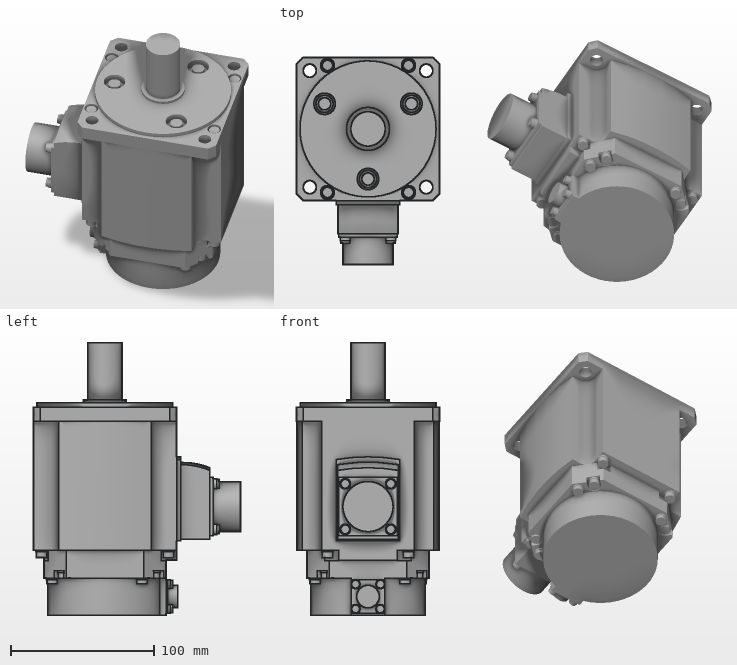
import cadquery as cq
import math


SHAFT_TOP = 45.0
COLLAR_TOP = 5.0
PILOT_TOP = 3.0
FLANGE_BOTTOM = -10.0
HOUSING_BOTTOM = -100.0
TAB_BOTTOM = HOUSING_BOTTOM - 6.9
COVER_NECK_BOTTOM = HOUSING_BOTTOM - 7.4
COVER_BOTTOM = HOUSING_BOTTOM - 19.5
ENCODER_BOTTOM = -145.5

SHAFT_DIAMETER = 24.0
COLLAR_DIAMETER = 30.0
PILOT_DIAMETER = 95.0
FLANGE_SIZE = 100.0
FLANGE_CHAMFER = 4.7
MOUNT_HOLE_DIAMETER = 9.0
MOUNT_HOLE_CIRCLE = 115.0

HOUSING_HALF_DEPTH = FLANGE_SIZE / 2
HOUSING_PLATE_HALF_WIDTH = 32.3
HOUSING_SIDE_PEAK = 49.85
HOUSING_SIDE_EDGE = 46.0
NOTCH_RADIUS = 8.0

COVER_SIZE = 85.3
COVER_CHAMFER = 15.7
NECK_DEPTH = 78.8
TAB_WIDTH = 40.6

ENCODER_DIAMETER = 80.0
ENCODER_BLOCK_WIDTH = 23.7

WASHER_DIAMETER = 8.0
WASHER_HEIGHT = 1.2
HEAD_DIAMETER = 7.3
LONG_BOLT_HEIGHT = 5.1
SHORT_BOLT_HEIGHT = 4.0

FLANGE_BOLT_X = 28.3
FLANGE_BOLT_Y = 44.3
FLANGE_BORE_DIAMETER = 9.6
FLANGE_BORE_DEPTH = 6.0

PILOT_BOLT_RADIUS = 35.0
PILOT_BOLT_ANGLES = (30, 150, 270)
PILOT_BORE_DIAMETER = 15.0
PILOT_BORE_DEPTH = 6.0
PILOT_WASHER_DIAMETER = 12.0
PILOT_HEAD_DIAMETER = 8.6
PILOT_BOLT_HEIGHT = 4.6

COVER_BOLT_RADIUS = 45.0
COVER_BOLT_ANGLE = 35.0
POCKET_BOLT_ANGLE = 50.0
POCKET_CENTRE_ANGLE = 45.0
POCKET_WIDTH = 9.5
POCKET_CEILING = COVER_BOTTOM + 5.1
QUARTER_TURNS = (0, 90, 180, 270)

POWER_BASE_WIDTH = 44.4
POWER_BASE_TOP = -34.8
POWER_BASE_BOTTOM = -93.5
POWER_BASE_FRONT = 53.1
POWER_HOOD_WIDTH = 41.9
POWER_HOOD_TOP = -38.5
POWER_HOOD_BOTTOM = -92.4
POWER_HOOD_FRONT = 73.2
POWER_HOOD_DROP = 3.9
POWER_CROWN_RADIUS = 130.0
POWER_PLATE_SIZE = 41.0
POWER_PLATE_FRONT = 75.6
POWER_AXIS_Z = -69.5
POWER_PLUG_DIAMETER = 35.0
POWER_PLUG_END = 94.8
POWER_BOLT_OFFSET = 15.9
POWER_WASHER_DIAMETER = 7.2
POWER_WASHER_HEIGHT = 2.3
POWER_HEAD_DIAMETER = 6.3
POWER_BOLT_HEIGHT = 4.2

SIGNAL_PLATE_SIZE = 23.4
SIGNAL_PLATE_FRONT = COVER_SIZE / 2 + 1.2
SIGNAL_AXIS_Z = -132.3
SIGNAL_PLUG_DIAMETER = 15.8
SIGNAL_PLUG_END = 50.9
SIGNAL_BOLT_OFFSET = 8.65
SIGNAL_WASHER_DIAMETER = 6.2
SIGNAL_WASHER_HEIGHT = 1.8
SIGNAL_HEAD_DIAMETER = 5.6
SIGNAL_BOLT_HEIGHT = 3.5


def cylinder(diameter, bottom, top, centre=(0, 0)):
    """Upright cylinder between two Z levels."""
    return cq.Workplane("XY", origin=(*centre, bottom)).circle(diameter / 2).extrude(top - bottom)


def block(width, depth, bottom, top):
    """Upright rectangular block centred on the shaft axis."""
    return cq.Workplane("XY", origin=(0, 0, bottom)).rect(width, depth).extrude(top - bottom)


def forward_cylinder(diameter, back, front, x, z):
    """Cylinder along -Y; back and front are distances from the shaft axis."""
    return cq.Workplane("XZ", origin=(x, -back, z)).circle(diameter / 2).extrude(front - back)


def forward_box(width, bottom, top, back, front):
    """Box reaching along -Y; back and front are distances from the shaft axis."""
    return cq.Workplane("XY").box(width, front - back, top - bottom).translate(
        (0, -(front + back) / 2, (top + bottom) / 2)
    )


def polar(radius, angle):
    """Point at a radius and an angle in degrees."""
    return (radius * math.cos(math.radians(angle)), radius * math.sin(math.radians(angle)))


def hanging_bolt(centre, top, height):
    """Bolt head with a washer under it, pointing down."""
    washer = cylinder(WASHER_DIAMETER, top - WASHER_HEIGHT, top, centre)
    return washer.union(cylinder(HEAD_DIAMETER, top - height, top, centre))


def standing_bolt(centre, bottom, height, washer_diameter, head_diameter):
    """Bolt head with a washer under it, pointing up."""
    washer = cylinder(washer_diameter, bottom, bottom + WASHER_HEIGHT, centre)
    return washer.union(cylinder(head_diameter, bottom, bottom + height, centre))


def make_shaft_and_flange():
    flange = block(FLANGE_SIZE, FLANGE_SIZE, FLANGE_BOTTOM, 0).edges("|Z").chamfer(FLANGE_CHAMFER)
    flange = flange.union(cylinder(PILOT_DIAMETER, FLANGE_BOTTOM, PILOT_TOP))
    flange = flange.union(cylinder(COLLAR_DIAMETER, 0, COLLAR_TOP))
    return flange.union(cylinder(SHAFT_DIAMETER, 0, SHAFT_TOP))


def make_housing():
    """Housing with flat front and rear faces, bulged sides and a concave notch at each corner."""
    plate = HOUSING_PLATE_HALF_WIDTH
    bulge = (
        cq.Workplane("XY", origin=(0, 0, HOUSING_BOTTOM))
        .moveTo(HOUSING_SIDE_EDGE, -plate)
        .threePointArc((HOUSING_SIDE_PEAK, 0), (HOUSING_SIDE_EDGE, plate))
        .lineTo(-HOUSING_SIDE_EDGE, plate)
        .threePointArc((-HOUSING_SIDE_PEAK, 0), (-HOUSING_SIDE_EDGE, -plate))
        .close()
        .extrude(FLANGE_BOTTOM - HOUSING_BOTTOM)
    )
    core = block(2 * plate, 2 * HOUSING_HALF_DEPTH, HOUSING_BOTTOM, FLANGE_BOTTOM)
    housing = core.union(bulge)
    notch_centre = plate + NOTCH_RADIUS
    for side_x in (-1, 1):
        for side_y in (-1, 1):
            web = (
                cq.Workplane("XY", origin=(0, 0, HOUSING_BOTTOM))
                .moveTo(side_x * plate, side_y * plate)
                .lineTo(side_x * notch_centre, side_y * plate)
                .radiusArc((side_x * plate, side_y * notch_centre), side_x * side_y * NOTCH_RADIUS)
                .close()
                .extrude(FLANGE_BOTTOM - HOUSING_BOTTOM)
            )
            housing = housing.union(web)
    return housing


def make_rear_cover():
    """Chamfered square cover, with a narrower neck and a front tab below the housing."""
    base = block(COVER_SIZE, COVER_SIZE, COVER_BOTTOM, COVER_NECK_BOTTOM)
    neck = block(COVER_SIZE, NECK_DEPTH, COVER_NECK_BOTTOM, HOUSING_BOTTOM)
    neck = neck.union(block(TAB_WIDTH, COVER_SIZE, COVER_NECK_BOTTOM, HOUSING_BOTTOM))
    chamfered_column = block(COVER_SIZE, COVER_SIZE, COVER_BOTTOM, HOUSING_BOTTOM)
    chamfered_column = chamfered_column.edges("|Z").chamfer(COVER_CHAMFER)
    cover = base.union(neck).intersect(chamfered_column)
    return cover.union(forward_box(TAB_WIDTH, TAB_BOTTOM, HOUSING_BOTTOM, 0, HOUSING_HALF_DEPTH))


def cut_corner_pockets(body):
    """Round-ended pockets in the cover's chamfers, each open below and outwards."""
    bolt_offset = math.radians(POCKET_BOLT_ANGLE - POCKET_CENTRE_ANGLE)
    radial = COVER_BOLT_RADIUS * math.cos(bolt_offset)
    sideways = COVER_BOLT_RADIUS * math.sin(bolt_offset)
    height = POCKET_CEILING - COVER_BOTTOM
    pocket = (
        cq.Workplane("XY", origin=(0, 0, COVER_BOTTOM))
        .center(radial + POCKET_WIDTH, sideways)
        .slot2D(3 * POCKET_WIDTH, POCKET_WIDTH)
        .extrude(height)
        .rotate((0, 0, 0), (0, 0, 1), POCKET_CENTRE_ANGLE)
    )
    for turn in QUARTER_TURNS:
        body = body.cut(pocket.rotate((0, 0, 0), (0, 0, 1), turn))
    return body


def make_encoder():
    """Round encoder housing with a flat block at the front for the signal connector."""
    encoder = cylinder(ENCODER_DIAMETER, ENCODER_BOTTOM, COVER_BOTTOM)
    mount = forward_box(ENCODER_BLOCK_WIDTH, ENCODER_BOTTOM, COVER_BOTTOM, 0, COVER_SIZE / 2)
    return encoder.union(mount)


def add_flange_fixings(body):
    """Sunk bolts at the flange's edges, sunk bolts in the pilot, and the corner mounting holes."""
    for x in (-FLANGE_BOLT_X, FLANGE_BOLT_X):
        for y in (-FLANGE_BOLT_Y, FLANGE_BOLT_Y):
            body = body.cut(cylinder(FLANGE_BORE_DIAMETER, -FLANGE_BORE_DEPTH, 0, (x, y)))
            body = body.union(
                standing_bolt((x, y), -FLANGE_BORE_DEPTH, LONG_BOLT_HEIGHT, WASHER_DIAMETER, HEAD_DIAMETER)
            )
            body = body.union(hanging_bolt((x, y), HOUSING_BOTTOM, LONG_BOLT_HEIGHT))

    pilot_bore_floor = PILOT_TOP - PILOT_BORE_DEPTH
    for angle in PILOT_BOLT_ANGLES:
        centre = polar(PILOT_BOLT_RADIUS, angle)
        body = body.cut(cylinder(PILOT_BORE_DIAMETER, pilot_bore_floor, PILOT_TOP, centre))
        body = body.union(
            standing_bolt(
                centre, pilot_bore_floor, PILOT_BOLT_HEIGHT, PILOT_WASHER_DIAMETER, PILOT_HEAD_DIAMETER
            )
        )

    for turn in QUARTER_TURNS:
        centre = polar(MOUNT_HOLE_CIRCLE / 2, 45 + turn)
        body = body.cut(cylinder(MOUNT_HOLE_DIAMETER, FLANGE_BOTTOM, 0, centre))
    return body


def add_cover_bolts(body):
    for turn in QUARTER_TURNS:
        face_bolt = polar(COVER_BOLT_RADIUS, COVER_BOLT_ANGLE + turn)
        pocket_bolt = polar(COVER_BOLT_RADIUS, POCKET_BOLT_ANGLE + turn)
        body = body.union(hanging_bolt(face_bolt, COVER_BOTTOM, SHORT_BOLT_HEIGHT))
        body = body.union(hanging_bolt(pocket_bolt, POCKET_CEILING, LONG_BOLT_HEIGHT))
    return body


def add_connector_bolts(body, offset, axis_z, face, washer, head):
    """Four bolts at the corners of a connector plate; washer and head are (diameter, height)."""
    for x in (-offset, offset):
        for z in (axis_z - offset, axis_z + offset):
            for diameter, height in (washer, head):
                body = body.union(forward_cylinder(diameter, face, face + height, x, z))
    return body


def make_power_base():
    """Pad under the power connector, crowned at the top."""
    pad = forward_box(POWER_BASE_WIDTH, POWER_BASE_BOTTOM, POWER_BASE_TOP, 0, POWER_BASE_FRONT)
    crown_centre = POWER_BASE_TOP - POWER_CROWN_RADIUS
    crown = forward_cylinder(2 * POWER_CROWN_RADIUS, 0, POWER_BASE_FRONT, 0, crown_centre)
    return pad.intersect(crown)


def make_power_hood():
    """Hood whose top curves down towards the front and is crowned across X."""
    length = POWER_HOOD_FRONT - POWER_BASE_FRONT
    fall_radius = (length**2 + POWER_HOOD_DROP**2) / (2 * POWER_HOOD_DROP)
    crown_centre = POWER_HOOD_TOP - POWER_CROWN_RADIUS
    crown = (
        cq.Workplane("YZ", origin=(0, 0, crown_centre))
        .moveTo(0, 0)
        .lineTo(0, POWER_CROWN_RADIUS)
        .lineTo(-POWER_BASE_FRONT, POWER_CROWN_RADIUS)
        .radiusArc((-POWER_HOOD_FRONT, POWER_CROWN_RADIUS - POWER_HOOD_DROP), -fall_radius)
        .lineTo(-POWER_HOOD_FRONT, 0)
        .close()
        .revolve(360, (0, 0, 0), (1, 0, 0))
    )
    envelope = forward_box(POWER_HOOD_WIDTH, POWER_HOOD_BOTTOM, POWER_HOOD_TOP, 0, POWER_HOOD_FRONT)
    return envelope.intersect(crown)


def make_power_connector():
    half_plate = POWER_PLATE_SIZE / 2
    plate = forward_box(
        POWER_PLATE_SIZE, POWER_AXIS_Z - half_plate, POWER_AXIS_Z + half_plate, 0, POWER_PLATE_FRONT
    )
    plug = forward_cylinder(POWER_PLUG_DIAMETER, 0, POWER_PLUG_END, 0, POWER_AXIS_Z)
    connector = make_power_base().union(make_power_hood()).union(plate).union(plug)
    return add_connector_bolts(
        connector,
        POWER_BOLT_OFFSET,
        POWER_AXIS_Z,
        POWER_PLATE_FRONT,
        (POWER_WASHER_DIAMETER, POWER_WASHER_HEIGHT),
        (POWER_HEAD_DIAMETER, POWER_BOLT_HEIGHT),
    )


def make_signal_connector():
    half_plate = SIGNAL_PLATE_SIZE / 2
    plate = forward_box(
        SIGNAL_PLATE_SIZE, SIGNAL_AXIS_Z - half_plate, SIGNAL_AXIS_Z + half_plate, 0, SIGNAL_PLATE_FRONT
    )
    plug = forward_cylinder(SIGNAL_PLUG_DIAMETER, 0, SIGNAL_PLUG_END, 0, SIGNAL_AXIS_Z)
    return add_connector_bolts(
        plate.union(plug),
        SIGNAL_BOLT_OFFSET,
        SIGNAL_AXIS_Z,
        SIGNAL_PLATE_FRONT,
        (SIGNAL_WASHER_DIAMETER, SIGNAL_WASHER_HEIGHT),
        (SIGNAL_HEAD_DIAMETER, SIGNAL_BOLT_HEIGHT),
    )


motor = make_shaft_and_flange().union(make_housing())
motor = motor.union(cut_corner_pockets(make_rear_cover()))
motor = motor.union(make_encoder())
motor = add_flange_fixings(motor)
motor = add_cover_bolts(motor)
result = motor.union(make_power_connector()).union(make_signal_connector())